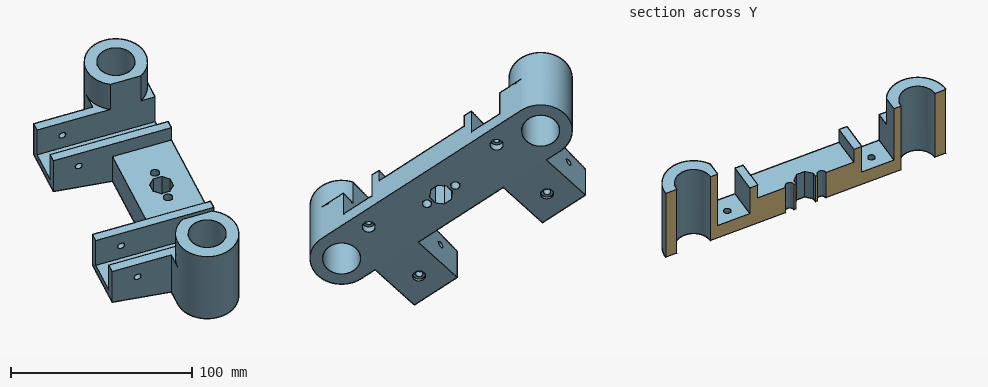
import cadquery as cq
import math

length = 175.0
tube_diameter = 35.0
tube_bore = 21.0
tube_height = 50.0
tube_x = (length - tube_diameter) / 2
tube_y = -tube_diameter / 2

channel_depth = 70.0
channel_height = 30.0
channel_inner_x = 30.0
slot_width = 20.0
inner_wall = 5.0
outer_wall = 5.2
floor_top = 10.0
nose_rise = 5.0
slot_inner_x = channel_inner_x + inner_wall
slot_outer_x = slot_inner_x + slot_width
channel_outer_x = slot_outer_x + outer_wall
slot_center_x = (slot_inner_x + slot_outer_x) / 2

bridge_height = 20.0
octagon_flats = 12.0
bridge_hole = 5.0
bridge_hole_x = 10.0

screw_hole = 4.0
screw_head = 7.2
screw_head_top = 5.0
back_screw_y = -10.0
front_screw_y = -55.0
cross_hole_z = 20.0


def block(x_start, x_end, depth, bottom, top):
    """Box reaching forward from the back plane."""
    size = (x_end - x_start, depth, top - bottom)
    return cq.Workplane("XY").box(*size, centered=False).translate((x_start, -depth, bottom))


def cylinder(x, y, diameter, height):
    """Vertical cylinder standing on the base plane."""
    return cq.Workplane("XY").center(x, y).circle(diameter / 2).extrude(height)


def channel():
    """Solid channel bar whose underside slopes up towards the front."""
    profile = [
        (0, 0),
        (-tube_diameter, 0),
        (-channel_depth, nose_rise),
        (-channel_depth, channel_height),
        (0, channel_height),
    ]
    bar = cq.Workplane("YZ").polyline(profile).close().extrude(channel_outer_x - channel_inner_x)
    return bar.translate((channel_inner_x, 0, 0))


def right_side():
    """Tube, its web and the channel on the +X side."""
    side = channel()
    side = side.union(block(channel_outer_x, tube_x, tube_diameter, 0, channel_height))
    side = side.union(cylinder(tube_x, tube_y, tube_diameter, tube_height))
    side = side.cut(cylinder(tube_x, tube_y, tube_bore, tube_height))
    side = side.cut(block(slot_inner_x, slot_outer_x, channel_depth, floor_top, tube_height))
    for y in (back_screw_y, front_screw_y):
        side = side.cut(cylinder(slot_center_x, y, screw_hole, floor_top))
        side = side.cut(cylinder(slot_center_x, y, screw_head, screw_head_top))
    cross_hole = (
        cq.Workplane("YZ")
        .center(front_screw_y, cross_hole_z)
        .circle(screw_hole / 2)
        .extrude(channel_outer_x)
    )
    return side.cut(cross_hole)


def bridge():
    """Center block with an octagonal opening between two round holes."""
    body = block(-channel_inner_x, channel_inner_x, tube_diameter, 0, bridge_height)
    octagon = (
        cq.Workplane("XY")
        .polygon(8, octagon_flats / math.cos(math.pi / 8))
        .extrude(bridge_height)
        .rotate((0, 0, 0), (0, 0, 1), 180 / 8)
        .translate((0, tube_y, 0))
    )
    body = body.cut(octagon)
    for x in (-bridge_hole_x, bridge_hole_x):
        body = body.cut(cylinder(x, tube_y, bridge_hole, bridge_height))
    return body


right = right_side()
result = right.union(right.mirror("YZ")).union(bridge())